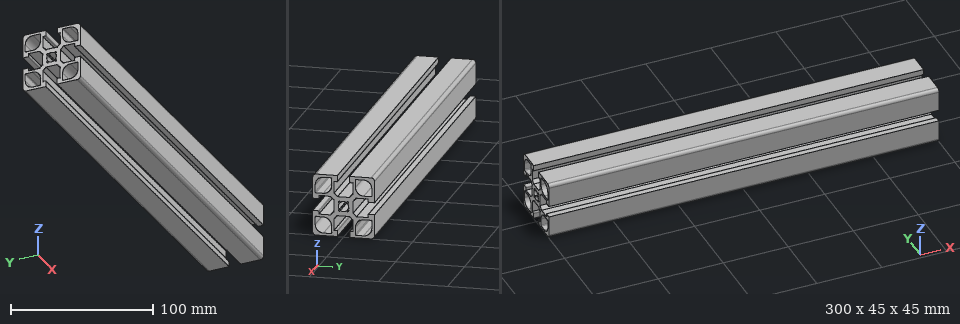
import cadquery as cq
length = 300.0
side = 45.0
corner_radius = 2.5

slot_opening = 8.8
lip_depth = 4.6
lip_edge_radius = 0.3
slot_width = 13.6
core_width = 14.0
slot_floor_chamfer = 2.5

outer_wall = 2.0
inner_wall = 1.9
chamber_large_radius = 6.0
chamber_small_radius = 0.5

bore_diameter = 7.5
groove_width = 1.0
groove_span = 9.6
groove_angles = (45.0, -45.0)

side_count = 4
side_angle = 360.0 / side_count
half_side = side / 2
x_axis = ((0, 0, 0), (1, 0, 0))


def end_plane():
    """Profile plane at the -X end: local x runs along Y, local y along Z."""
    return cq.Workplane("YZ").workplane(offset=-length / 2)


def make_bar():
    bar = end_plane().rect(side, side).extrude(length)
    return bar.edges("|X").fillet(corner_radius)


def make_slot():
    """T-slot open toward +Z, with its floor corners chamfered and its inner lip edges rounded."""
    half_opening = slot_opening / 2
    half_width = slot_width / 2
    lip_height = half_side - lip_depth
    floor_height = core_width / 2
    return (
        end_plane()
        .moveTo(half_opening, half_side)
        .lineTo(half_opening, lip_height + lip_edge_radius)
        .radiusArc((half_opening + lip_edge_radius, lip_height), -lip_edge_radius)
        .lineTo(half_width, lip_height)
        .lineTo(half_width, floor_height + slot_floor_chamfer)
        .lineTo(half_width - slot_floor_chamfer, floor_height)
        .lineTo(0, floor_height)
        .lineTo(0, half_side)
        .close()
        .extrude(length)
        .mirror("XZ", union=True)
        .clean()
    )


def make_chamber():
    """Square chamber in the +Y +Z corner, with the large radius on the diagonal through the axis."""
    near = slot_width / 2 + inner_wall
    far = half_side - outer_wall
    size = far - near
    centre = (near + far) / 2
    chamber = end_plane().center(centre, centre).rect(size, size).extrude(length)
    chamber = chamber.edges("|X").edges(">(0, 1, 1) or <(0, 1, 1)").fillet(chamber_large_radius)
    return chamber.edges("|X").edges(">(0, 1, -1) or <(0, 1, -1)").fillet(chamber_small_radius)


def make_bore():
    bore = end_plane().circle(bore_diameter / 2).extrude(length)
    for angle in groove_angles:
        groove_pair = end_plane().rect(groove_span, groove_width).extrude(length)
        bore = bore.union(groove_pair.rotate(*x_axis, angle))
    return bore


result = make_bar()
for turn in range(side_count):
    angle = turn * side_angle
    result = result.cut(make_slot().rotate(*x_axis, angle))
    result = result.cut(make_chamber().rotate(*x_axis, angle))
result = result.cut(make_bore()).solids()